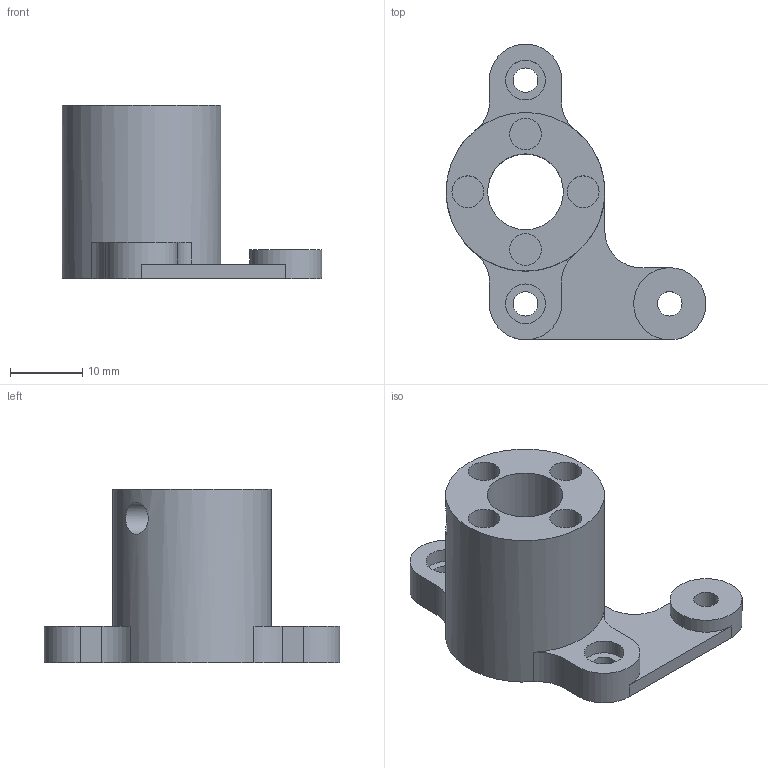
import cadquery as cq
import math

barrel_radius = 22 / 2
barrel_height = 24
bore_diameter = 10.5

insert_diameter = 4.4
insert_circle_radius = 8
insert_count = 4
insert_depth = 6
side_hole_height = 20
side_hole_angle = 135

lug_radius = 10 / 2
ear_offset = 15.5
ear_height = 5
blend_radius = 5
screw_diameter = 3.4
counterbore_diameter = 5.5
counterbore_depth = 2

arm_thickness = 2
boss_height = 4
boss_x = 20
boss_y = -ear_offset


def make_barrel():
    return cq.Workplane("XY").circle(barrel_radius).extrude(barrel_height)


def make_ear():
    """Round-ended ear toward +Y whose sides blend tangentially into the barrel."""
    center_x = lug_radius + blend_radius
    center_distance = barrel_radius + blend_radius
    center_y = math.sqrt(center_distance**2 - center_x**2)
    touch_x = center_x * barrel_radius / center_distance
    touch_y = center_y * barrel_radius / center_distance
    mid_angle = (math.pi + math.atan2(center_y, center_x) + math.pi) / 2
    mid_x = center_x + blend_radius * math.cos(mid_angle)
    mid_y = center_y + blend_radius * math.sin(mid_angle)
    return (
        cq.Workplane("XY")
        .lineTo(touch_x, touch_y)
        .threePointArc((mid_x, mid_y), (lug_radius, center_y))
        .lineTo(lug_radius, ear_offset)
        .threePointArc((0, ear_offset + lug_radius), (-lug_radius, ear_offset))
        .lineTo(-lug_radius, center_y)
        .threePointArc((-mid_x, mid_y), (-touch_x, touch_y))
        .close()
        .extrude(ear_height)
    )


def make_arm():
    """Flat arm from the barrel and front ear to the boss, with a rounded inner corner."""
    inner_y = boss_y + lug_radius
    outer_y = boss_y - lug_radius
    corner_x = barrel_radius + blend_radius
    corner_y = inner_y + blend_radius
    diagonal = blend_radius * math.sqrt(0.5)
    plate = (
        cq.Workplane("XY")
        .lineTo(barrel_radius, 0)
        .lineTo(barrel_radius, corner_y)
        .threePointArc((corner_x - diagonal, corner_y - diagonal), (corner_x, inner_y))
        .lineTo(boss_x, inner_y)
        .lineTo(boss_x, outer_y)
        .lineTo(0, outer_y)
        .close()
        .extrude(arm_thickness)
    )
    boss = cq.Workplane("XY").center(boss_x, boss_y).circle(lug_radius).extrude(boss_height)
    return plate.union(boss)


def cut_screw_holes(body):
    ear_points = [(0, ear_offset), (0, -ear_offset)]
    through_holes = (
        cq.Workplane("XY")
        .pushPoints(ear_points + [(boss_x, boss_y)])
        .circle(screw_diameter / 2)
        .extrude(ear_height)
    )
    counterbores = (
        cq.Workplane("XY", origin=(0, 0, ear_height))
        .pushPoints(ear_points)
        .circle(counterbore_diameter / 2)
        .extrude(-counterbore_depth)
    )
    return body.cut(through_holes).cut(counterbores)


def cut_barrel_holes(body):
    bore = cq.Workplane("XY").circle(bore_diameter / 2).extrude(barrel_height)
    inserts = (
        cq.Workplane("XY", origin=(0, 0, barrel_height))
        .polarArray(insert_circle_radius, 0, 360, insert_count)
        .circle(insert_diameter / 2)
        .extrude(-insert_depth)
    )
    side_hole = (
        cq.Workplane("YZ", origin=(0, 0, side_hole_height))
        .circle(insert_diameter / 2)
        .extrude(barrel_radius)
        .rotate((0, 0, 0), (0, 0, 1), side_hole_angle)
    )
    return body.cut(bore).cut(inserts).cut(side_hole)


rear_ear = make_ear()
front_ear = rear_ear.mirror("XZ")
body = make_barrel().union(rear_ear).union(front_ear).union(make_arm())
result = cut_barrel_holes(cut_screw_holes(body))